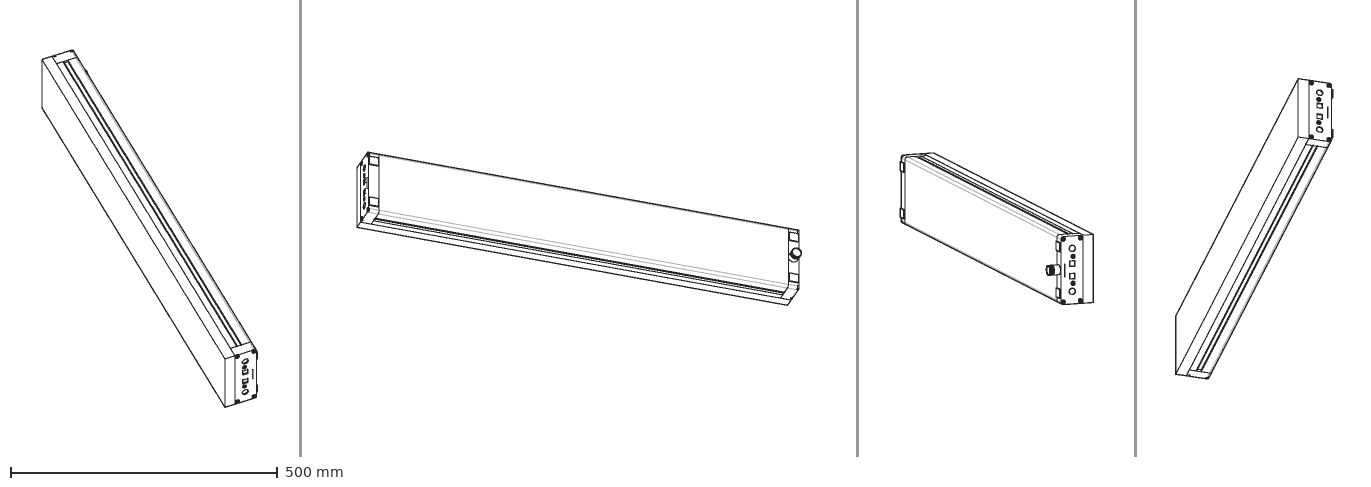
import cadquery as cq

LENGTH = 856.0
HEIGHT = 130.0
TOTAL_DEPTH = 86.5

PANEL_DEPTH = 20.5
BODY_BACK = 65.0
CAP_LENGTH = 21.0
BACK_EDGE_RADIUS = 5.0
PROFILE_LENGTH = LENGTH - 2 * CAP_LENGTH

GROOVE_BACK = 44.0
GROOVE_FRONT = 36.0
GROOVE_CHAMFER = 2.5
GROOVE_DEPTH = 4.0

PAD_LENGTH = 18.0
PAD_HEIGHT = 17.0
PAD_THICKNESS = 2.5
PAD_OFFSET_Z = 44.5

SCREW_RADIUS = 3.85
SCREW_SOCKET_RADIUS = 2.0
SCREW_EDGE_DISTANCE = 5.0
SCREW_RECESS_DEPTH = 2.5
SCREW_SOCKET_DEPTH = 5.0

ROW_Y = 42.0
ROUND_OFFSET_Z = 41.0
ROUND_RADIUS = 6.0
STEPPED_Y = 40.0
STEPPED_OFFSET_Z = 26.0
STEPPED_RADIUS = 3.85
STEPPED_INNER_RADIUS = 2.0
SQUARE_OFFSET_Z = 12.0
SQUARE_SIDE = 10.0
RECESS_DEPTH = 2.5
INNER_RECESS_DEPTH = 5.0

SLIT_Y = 57.0
SLIT_WIDTH = 0.4
SLIT_HEIGHT = 24.0

CONNECTOR_RADIUS = 9.0
CONNECTOR_X = 12.0
GRIP_LENGTH = 9.0
GRIP_RING_COUNT = 3
GRIP_GROOVE_DEPTH = 1.0


def box_between(x_range, y_range, z_range):
    """A box that fills the given ranges along X, Y and Z."""
    low = [start for start, _ in (x_range, y_range, z_range)]
    size = [end - start for start, end in (x_range, y_range, z_range)]
    return cq.Workplane("XY").box(*size, centered=False).translate(tuple(low))


def body_block(x_start, length):
    """A length of the housing section, with rounded long edges at the back."""
    block = box_between(
        (x_start, x_start + length), (PANEL_DEPTH, BODY_BACK), (-HEIGHT / 2, HEIGHT / 2)
    )
    return block.edges("|X and >Y").fillet(BACK_EDGE_RADIUS)


def make_panel():
    return box_between((0, LENGTH), (0, PANEL_DEPTH), (-HEIGHT / 2, HEIGHT / 2))


def make_profile():
    groove_top = HEIGHT / 2
    groove_floor = groove_top - GROOVE_DEPTH
    groove = (
        cq.Workplane("YZ")
        .polyline([
            (GROOVE_FRONT - GROOVE_CHAMFER, groove_top),
            (GROOVE_FRONT, groove_top - GROOVE_CHAMFER),
            (GROOVE_FRONT, groove_floor),
            (GROOVE_BACK, groove_floor),
            (GROOVE_BACK, groove_top),
        ])
        .close()
        .extrude(PROFILE_LENGTH)
        .translate((CAP_LENGTH, 0, 0))
    )
    profile = body_block(CAP_LENGTH, PROFILE_LENGTH)
    return profile.cut(groove).cut(groove.mirror("XY"))


def end_holes(points, radius, depth):
    """Round holes from the left end face inward, at (y, z) points."""
    return cq.Workplane("YZ").pushPoints(points).circle(radius).extrude(depth)


def mirrored_points(y, z):
    return [(y, z), (y, -z)]


def cut_corner_screws(cap):
    screw_z = HEIGHT / 2 - SCREW_EDGE_DISTANCE
    for screw_y in (PANEL_DEPTH + SCREW_EDGE_DISTANCE, BODY_BACK - SCREW_EDGE_DISTANCE):
        points = mirrored_points(screw_y, screw_z)
        cap = cap.cut(end_holes(points, SCREW_RADIUS, SCREW_RECESS_DEPTH))
        cap = cap.cut(end_holes(points, SCREW_SOCKET_RADIUS, SCREW_SOCKET_DEPTH))
    return cap


def cut_recess_row(cap):
    squares = (
        cq.Workplane("YZ")
        .pushPoints(mirrored_points(ROW_Y, SQUARE_OFFSET_Z))
        .rect(SQUARE_SIDE, SQUARE_SIDE)
        .extrude(RECESS_DEPTH)
    )
    stepped_points = mirrored_points(STEPPED_Y, STEPPED_OFFSET_Z)
    cap = cap.cut(end_holes(mirrored_points(ROW_Y, ROUND_OFFSET_Z), ROUND_RADIUS, RECESS_DEPTH))
    cap = cap.cut(end_holes(stepped_points, STEPPED_RADIUS, RECESS_DEPTH))
    cap = cap.cut(end_holes(stepped_points, STEPPED_INNER_RADIUS, INNER_RECESS_DEPTH))
    return cap.cut(squares)


def cut_slit(cap):
    slit = cq.Workplane("YZ").center(SLIT_Y, 0).rect(SLIT_WIDTH, SLIT_HEIGHT).extrude(RECESS_DEPTH)
    return cap.cut(slit)


def add_pads(cap):
    pad_start = (CAP_LENGTH - PAD_LENGTH) / 2
    for side in (1, -1):
        z_center = side * PAD_OFFSET_Z
        pad = box_between(
            (pad_start, pad_start + PAD_LENGTH),
            (BODY_BACK - PAD_THICKNESS, BODY_BACK + PAD_THICKNESS),
            (z_center - PAD_HEIGHT / 2, z_center + PAD_HEIGHT / 2),
        )
        cap = cap.union(pad)
    return cap


def make_plain_cap():
    """The features both caps share, placed at the left end."""
    cap = body_block(0, CAP_LENGTH)
    cap = cut_corner_screws(cap)
    cap = cut_recess_row(cap)
    cap = cut_slit(cap)
    return add_pads(cap)


def connector_disc(radius, y_start, y_end):
    disc = cq.Workplane("XZ").circle(radius).extrude(y_start - y_end)
    return disc.translate((CONNECTOR_X, y_start, 0))


def make_connector():
    """A cylinder with a ribbed grip at its free end."""
    connector = connector_disc(CONNECTOR_RADIUS, BODY_BACK - PAD_THICKNESS, TOTAL_DEPTH)
    pitch = GRIP_LENGTH / GRIP_RING_COUNT
    for index in range(GRIP_RING_COUNT):
        groove_start = TOTAL_DEPTH - GRIP_LENGTH + index * pitch
        groove_end = groove_start + pitch / 2
        groove = connector_disc(CONNECTOR_RADIUS, groove_start, groove_end).cut(
            connector_disc(CONNECTOR_RADIUS - GRIP_GROOVE_DEPTH, groove_start, groove_end)
        )
        connector = connector.cut(groove)
    return connector


panel = make_panel()
profile = make_profile()
plain_cap = make_plain_cap()
left_cap = plain_cap.union(make_connector())
right_cap = plain_cap.mirror("YZ").translate((LENGTH, 0, 0))

result = cq.Compound.makeCompound([panel.val(), profile.val(), left_cap.val(), right_cap.val()])